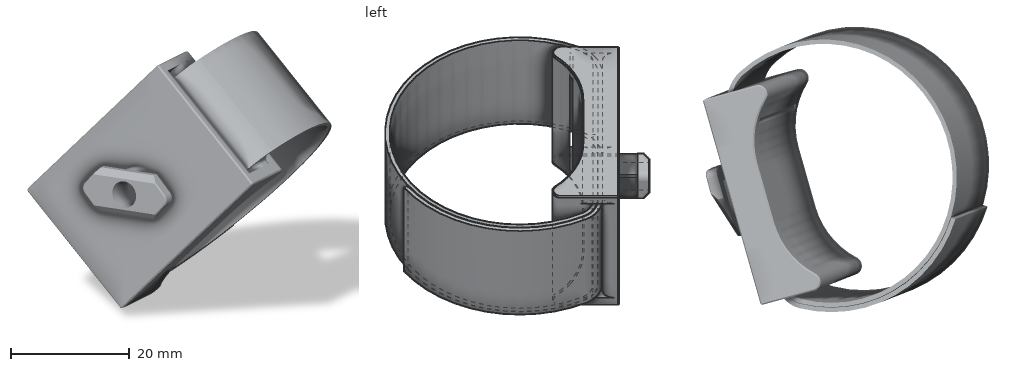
import cadquery as cq
import math


base_length = 36.0
base_width = 26.0
saddle_floor = 6.23
saddle_flat_half = 5.15
saddle_radius = 13.57
horn_radius = 1.55
edge_chamfer = 0.25

strap_width = 19.95
strap_thickness = 0.75
layer_gap = 0.1
layer_pitch = strap_thickness + layer_gap
ring_radius = 22.7
ring_height = 16.75
ring_offset = layer_pitch / 2
tip_angle = 124.0
inner_end_x = 0.0
right_bend_radius = 7.1
left_bend_radius = 5.1

channel_floor = 2.85
channel_height = 2 * strap_thickness + layer_gap
channel_width = 22.38
channel_shift = 0.2
mouth_radius = 1.9
slit_floor = 7.8
slit_height = 0.5

lug_height = 5.2
head_thickness = 2.0
head_half_height = 3.8
head_half_flat = 5.1
head_half_length = 8.05
head_shoulder_x = 7.75
head_shoulder_z = 0.85
head_chamfer = 1.1
head_edge_chamfer = 0.2
stem_radius = 3.75
stem_half_length = 5.1
hole_diameter = 4.6

turn_angle = -45


def polar(center, radius, degrees):
    angle = math.radians(degrees)
    return (center[0] + radius * math.cos(angle), center[1] + radius * math.sin(angle))


def make_base():
    half = base_length / 2
    saddle_y = saddle_floor + saddle_radius
    horn_x = half - horn_radius
    run = horn_x - saddle_flat_half
    drop = math.sqrt((saddle_radius + horn_radius) ** 2 - run**2)
    horn = (horn_x, saddle_y - drop)
    saddle = (saddle_flat_half, saddle_y)
    contact_angle = math.degrees(math.atan2(-drop, run))
    contact = polar(saddle, saddle_radius, contact_angle)
    saddle_mid = polar(saddle, saddle_radius, (contact_angle - 90) / 2)
    horn_mid = polar(horn, horn_radius, (contact_angle + 180) / 2)

    def mirrored(point):
        return (-point[0], point[1])

    flat_end = (saddle_flat_half, saddle_floor)
    horn_start = (half, horn[1])
    profile = (
        cq.Workplane("XY")
        .moveTo(-half, 0)
        .lineTo(half, 0)
        .lineTo(*horn_start)
        .threePointArc(horn_mid, contact)
        .threePointArc(saddle_mid, flat_end)
        .lineTo(*mirrored(flat_end))
        .threePointArc(mirrored(saddle_mid), mirrored(contact))
        .threePointArc(mirrored(horn_mid), mirrored(horn_start))
        .close()
    )
    block = profile.extrude(base_width / 2, both=True)
    return block.faces("<Z or >Z or <Y").edges().chamfer(edge_chamfer)


def make_channel():
    """Strap passage whose two mouths flare out with convex rounds."""
    half = base_length / 2
    throat = half - mouth_radius
    floor = channel_floor
    ceiling = channel_floor + channel_height
    return (
        cq.Workplane("XY")
        .moveTo(-throat, floor)
        .lineTo(throat, floor)
        .radiusArc((half, floor - mouth_radius), mouth_radius)
        .lineTo(half, ceiling + mouth_radius)
        .radiusArc((throat, ceiling), mouth_radius)
        .lineTo(-throat, ceiling)
        .radiusArc((-half, ceiling + mouth_radius), mouth_radius)
        .lineTo(-half, floor - mouth_radius)
        .radiusArc((-throat, floor), mouth_radius)
        .close()
        .extrude(channel_width / 2, both=True)
        .translate((0, 0, channel_shift))
    )


def make_slit():
    """Narrow slit through the horn at the +x end only."""
    return (
        cq.Workplane("XY")
        .box(base_length / 2, slit_height, channel_width)
        .translate((base_length / 4, slit_floor + slit_height / 2, channel_shift))
    )


def strap_arc(center, outer_radius, start, end):
    """Curved stretch of strap between two angles in degrees."""
    inner_radius = outer_radius - strap_thickness
    middle = (start + end) / 2
    return (
        cq.Workplane("XY")
        .moveTo(*polar(center, outer_radius, start))
        .threePointArc(polar(center, outer_radius, middle), polar(center, outer_radius, end))
        .lineTo(*polar(center, inner_radius, end))
        .threePointArc(polar(center, inner_radius, middle), polar(center, inner_radius, start))
        .close()
        .extrude(strap_width / 2, both=True)
    )


def strap_flat(start_x, end_x, floor):
    return (
        cq.Workplane("XY")
        .rect(end_x - start_x, strap_thickness)
        .extrude(strap_width / 2, both=True)
        .translate(((start_x + end_x) / 2, floor + strap_thickness / 2, 0))
    )


def bend_dip(outer_radius, bend_radius):
    """Angle below horizontal where the ring runs into a bend that levels out in the channel."""
    fall = ring_height - channel_floor - bend_radius
    return math.degrees(math.asin(fall / (outer_radius - bend_radius)))


def make_strap():
    ring_center = (ring_offset, ring_height)
    lap_radius = ring_radius + layer_pitch
    right_dip = bend_dip(ring_radius, right_bend_radius)
    left_dip = bend_dip(lap_radius, left_bend_radius)
    right_bend = polar(ring_center, ring_radius - right_bend_radius, -right_dip)
    left_bend = polar(ring_center, lap_radius - left_bend_radius, 180 + left_dip)
    inner_bend_radius = left_bend_radius - layer_pitch

    pieces = [
        strap_arc(ring_center, lap_radius, tip_angle, 180 + left_dip),
        strap_arc(left_bend, left_bend_radius, 180 + left_dip, 270),
        strap_flat(left_bend[0], right_bend[0], channel_floor),
        strap_arc(right_bend, right_bend_radius, -90, -right_dip),
        strap_arc(ring_center, ring_radius, -right_dip, 180 + left_dip),
        strap_arc(left_bend, inner_bend_radius, 180 + left_dip, 270),
        strap_flat(left_bend[0], inner_end_x, channel_floor + layer_pitch),
    ]
    strap = pieces[0]
    for piece in pieces[1:]:
        strap = strap.union(piece)
    return strap


def make_lug():
    """Built in final axes: plan in XZ, growing toward -Y from the underside of the base."""
    stem_height = lug_height - head_thickness
    stem = cq.Workplane("XZ").circle(stem_radius).extrude(stem_height)
    points = (
        cq.Workplane("XZ")
        .rect(2 * stem_radius, 2 * stem_radius)
        .extrude(stem_height)
        .rotate((0, 0, 0), (0, 1, 0), 45)
    )
    tangent_span = math.sqrt(2) * stem_radius
    trim = cq.Workplane("XZ").rect(2 * stem_half_length, tangent_span).extrude(stem_height)
    stem = stem.union(points.intersect(trim))

    head = (
        cq.Workplane("XZ", origin=(0, -stem_height, 0))
        .moveTo(-head_half_flat, head_half_height)
        .lineTo(head_half_flat, head_half_height)
        .lineTo(head_shoulder_x, head_shoulder_z)
        .threePointArc((head_half_length, 0), (head_shoulder_x, -head_shoulder_z))
        .lineTo(head_half_flat, -head_half_height)
        .lineTo(-head_half_flat, -head_half_height)
        .lineTo(-head_shoulder_x, -head_shoulder_z)
        .threePointArc((-head_half_length, 0), (-head_shoulder_x, head_shoulder_z))
        .close()
        .extrude(head_thickness)
    )
    head = head.faces("<Y").edges("not |X").chamfer(head_edge_chamfer)
    bevelled = (
        cq.Workplane("XZ", origin=(0, -stem_height, 0))
        .rect(2 * head_half_length, 2 * head_half_height)
        .extrude(head_thickness)
        .faces("<Y")
        .edges("|X")
        .chamfer(head_chamfer)
    )
    head = head.intersect(bevelled)
    hole = cq.Workplane("XZ").circle(hole_diameter / 2).extrude(lug_height)
    return stem.union(head).cut(hole)


body = make_base().cut(make_channel()).cut(make_slit()).union(make_strap())
body = body.rotate((0, 0, 0), (0, 1, 0), turn_angle)
result = body.union(make_lug())